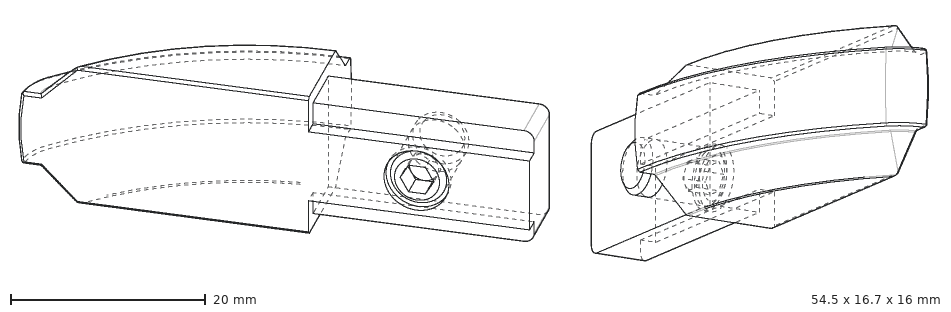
import cadquery as cq
import math

length = 54.5
head_length = 30.95
head_depth = 16.7
head_half_height = 8.0

rim_half_height = 4.2
rim_depth = 2.4
crown = 0.3
edge_chamfer = 0.3
rim_chamfer = 0.25
shoulder_fillet = 0.3

strip_half_height = 4.05
strip_depth = 1.8
bar_half_height = 6.5
tongue_depth = 7.75
bar_corner_radius = 1.1

screw_x = 42.45
screw_diameter = 6.0
screw_chamfer = 0.6
screw_tip_y = 10.0
screw_recess = 0.2
mouth_diameter = 6.9
socket_across_flats = 3.1
socket_depth = 2.7
cone_depth = 0.85

shoulder_width = head_half_height - rim_half_height
nose_radius = rim_depth + shoulder_width

sweep_radius = (head_length**2 + head_depth**2 - 2 * nose_radius * head_length) / (
    2 * (head_depth - nose_radius)
)
sweep_center_y = head_depth - sweep_radius
nose_angle = math.degrees(math.atan2(-sweep_center_y, head_length - nose_radius))


def head_section(radius):
    """Radial section of the head about an axis at the given distance from the crown."""
    shoulder_radius = radius - rim_depth
    top_radius = shoulder_radius - shoulder_width
    edge_radius = radius - crown
    rim_corner_z = rim_half_height - rim_chamfer
    flat_trim = shoulder_fillet * math.tan(math.pi / 8)
    slope_trim = flat_trim * math.sqrt(0.5)
    foot_start = (shoulder_radius + flat_trim, rim_half_height)
    foot_end = (shoulder_radius - slope_trim, rim_half_height + slope_trim)
    brow_start = (top_radius + slope_trim, head_half_height - slope_trim)
    if radius > nose_radius:
        brow_end = (top_radius - flat_trim, head_half_height)
    else:
        tip_drop = shoulder_fillet - math.sqrt(shoulder_fillet**2 - flat_trim**2)
        brow_end = (0, head_half_height - tip_drop)

    def upper(point):
        return (-point[0], point[1])

    def lower(point):
        return (-point[0], -point[1])

    section = cq.Workplane("XZ").moveTo(0, -brow_end[1])
    if radius > nose_radius:
        section = section.lineTo(*lower(brow_end))
    section = (
        section.radiusArc(lower(brow_start), shoulder_fillet)
        .lineTo(*lower(foot_end))
        .radiusArc(lower(foot_start), -shoulder_fillet)
        .lineTo(-edge_radius + rim_chamfer, -rim_half_height)
        .lineTo(-edge_radius, -rim_corner_z)
        .threePointArc((-radius, 0), (-edge_radius, rim_corner_z))
        .lineTo(-edge_radius + rim_chamfer, rim_half_height)
        .lineTo(*upper(foot_start))
        .radiusArc(upper(foot_end), -shoulder_fillet)
        .lineTo(*upper(brow_start))
        .radiusArc(upper(brow_end), shoulder_fillet)
    )
    if radius > nose_radius:
        section = section.lineTo(0, brow_end[1])
    return section.close()


def head_sector(radius, start_angle, end_angle, center):
    """Head section swept clockwise from the -X direction, between two angles."""
    return (
        head_section(radius)
        .revolve(end_angle - start_angle, (0, 0, 0), (0, -1, 0))
        .rotate((0, 0, 0), (0, 0, 1), -start_angle)
        .translate(center)
    )


def front_outline(workplane, inset):
    """Front outline of the head, drawn inward by the inset everywhere but at the back."""
    corner_shift = inset * math.tan(math.pi / 8)
    rim_z = rim_half_height - inset
    top_z = head_half_height - inset
    rim_end_x = rim_depth + corner_shift
    top_x = nose_radius + corner_shift
    return (
        workplane.moveTo(head_length, -top_z)
        .lineTo(top_x, -top_z)
        .lineTo(rim_end_x, -rim_z)
        .lineTo(crown + inset, -rim_z)
        .threePointArc((inset, 0), (crown + inset, rim_z))
        .lineTo(rim_end_x, rim_z)
        .lineTo(top_x, top_z)
        .lineTo(head_length, top_z)
        .close()
    )


def make_front_chamfer_envelope():
    """Space that holds the head once its front edges are chamfered."""
    front = front_outline(cq.Workplane("XZ"), edge_chamfer)
    bevel = front_outline(front.workplane(offset=-edge_chamfer), 0).loft(ruled=True)
    behind_bevel = (
        cq.Workplane("XY")
        .box(head_length, head_depth - edge_chamfer, 2 * head_half_height, centered=(False, False, True))
        .translate((0, edge_chamfer, 0))
    )
    return bevel.union(behind_bevel)


def make_head():
    nose = head_sector(nose_radius, 0, nose_angle, (nose_radius, 0, 0))
    sweep = head_sector(sweep_radius, nose_angle, 90, (head_length, sweep_center_y, 0))
    behind_front = cq.Workplane("XY").box(
        head_length, head_depth, 2 * head_half_height, centered=(False, False, True)
    )
    head = nose.union(sweep.intersect(behind_front))
    return head.intersect(make_front_chamfer_envelope())


def make_tongue():
    tongue_length = length - head_length
    strip = cq.Workplane("XY").box(
        tongue_length, strip_depth, 2 * strip_half_height, centered=(False, False, True)
    )
    bar = (
        cq.Workplane("XY")
        .box(tongue_length, tongue_depth - strip_depth, 2 * bar_half_height, centered=(False, False, True))
        .edges("|Y and >X")
        .fillet(bar_corner_radius)
        .translate((0, strip_depth, 0))
    )
    return strip.union(bar).translate((head_length, 0, 0))


def make_screw_hole():
    """Through hole with a wider mouth as deep as the front chamfer of the screw."""
    mouth_depth = screw_recess + screw_chamfer
    bore = (
        cq.Workplane("XZ", origin=(screw_x, tongue_depth, 0))
        .circle(screw_diameter / 2)
        .extrude(tongue_depth)
    )
    mouth = (
        cq.Workplane("XZ", origin=(screw_x, mouth_depth, 0))
        .circle(mouth_diameter / 2)
        .extrude(mouth_depth)
    )
    return bore.union(mouth)


def make_screw():
    """Set screw with both ends chamfered and a hexagon socket that ends in a cone."""
    shank = (
        cq.Workplane("XZ", origin=(screw_x, screw_tip_y, 0))
        .circle(screw_diameter / 2)
        .extrude(screw_tip_y - screw_recess)
        .faces("<Y or >Y")
        .chamfer(screw_chamfer)
    )
    socket_diameter = socket_across_flats / math.cos(math.pi / 6)
    socket_end = screw_recess + socket_depth
    socket = (
        cq.Workplane("XZ", origin=(screw_x, socket_end, 0))
        .polygon(6, socket_diameter)
        .extrude(socket_depth)
    )
    cone = cq.Workplane(cq.Solid.makeCone(
        socket_across_flats / 2, 0, cone_depth, cq.Vector(screw_x, socket_end, 0), cq.Vector(0, 1, 0)
    ))
    return shank.cut(socket).cut(cone)


body = make_head().union(make_tongue()).cut(make_screw_hole())
screw = make_screw()

result = cq.Compound.makeCompound([body.val(), screw.val()])